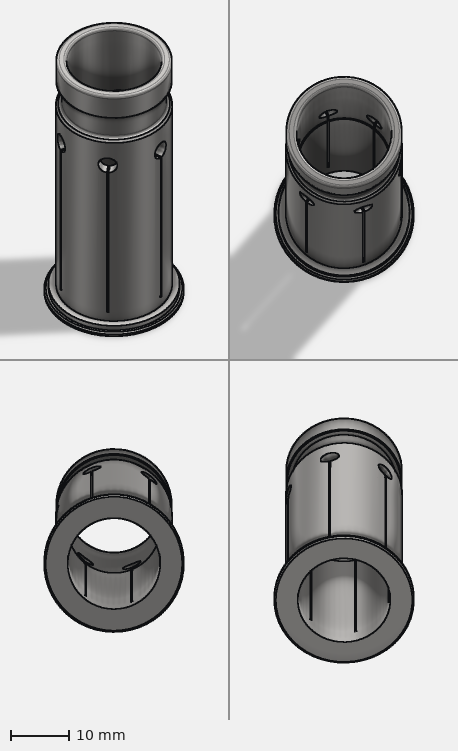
import cadquery as cq
total_height = 52.5
body_radius = 20.0 / 2

flange_radius = 24.0 / 2
flange_height = 1.0
flange_chamfer = 0.3
shoulder_radius = 22.5 / 2
shoulder_top = 2.0

collar_radius = 19.9 / 2
collar_height = 5.0
collar_top_fillet = 0.5
collar_lower_chamfer = 0.2
neck_radius = 18.0 / 2
neck_height = 5.0
neck_root_fillet = 0.5
body_chamfer = 0.4

bore_radius = 15.88 / 2
upper_bore_radius = 16.3 / 2
upper_bore_depth = 20.0
bore_mouth_fillet = 0.5

slit_count = 6
first_slit_angle = 30.0
slit_width = 0.3
slit_bottom = 4.0
hole_diameter = 3.25
hole_height = 37.0

collar_bottom = total_height - collar_height
body_top = collar_bottom - neck_height
bore_step_height = total_height - upper_bore_depth


def make_sleeve():
    """Revolve the stepped outside and the stepped bore about Z."""
    lower_outline = [
        (bore_radius, 0),
        (flange_radius - flange_chamfer, 0),
        (flange_radius, flange_chamfer),
        (flange_radius, flange_height - flange_chamfer),
        (flange_radius - flange_chamfer, flange_height),
        (shoulder_radius, flange_height),
        (shoulder_radius, shoulder_top),
        (body_radius, shoulder_top),
        (body_radius, body_top - body_chamfer),
        (body_radius - body_chamfer, body_top),
        (neck_radius + neck_root_fillet, body_top),
    ]
    profile = (
        cq.Workplane("XZ")
        .polyline(lower_outline)
        .radiusArc((neck_radius, body_top + neck_root_fillet), neck_root_fillet)
        .lineTo(neck_radius, collar_bottom)
        .lineTo(collar_radius - collar_lower_chamfer, collar_bottom)
        .lineTo(collar_radius, collar_bottom + collar_lower_chamfer)
        .lineTo(collar_radius, total_height - collar_top_fillet)
        .radiusArc((collar_radius - collar_top_fillet, total_height), -collar_top_fillet)
        .lineTo(upper_bore_radius + bore_mouth_fillet, total_height)
        .radiusArc((upper_bore_radius, total_height - bore_mouth_fillet), -bore_mouth_fillet)
        .lineTo(upper_bore_radius, bore_step_height)
        .lineTo(bore_radius, bore_step_height)
        .close()
    )
    return profile.revolve(360, (0, 0), (0, 1))


def make_slit_cutter(angle):
    """One radial hole with its slit running down the wall, at an angle about Z from +X."""
    cutter_length = flange_radius
    hole = (
        cq.Workplane("YZ")
        .center(0, hole_height)
        .circle(hole_diameter / 2)
        .extrude(cutter_length)
    )
    slit = cq.Workplane("XY").workplane(offset=slit_bottom).box(
        cutter_length, slit_width, hole_height - slit_bottom, centered=(False, True, False)
    )
    return hole.union(slit).rotate((0, 0, 0), (0, 0, 1), angle)


result = make_sleeve()
for index in range(slit_count):
    result = result.cut(make_slit_cutter(first_slit_angle + index * 360 / slit_count))